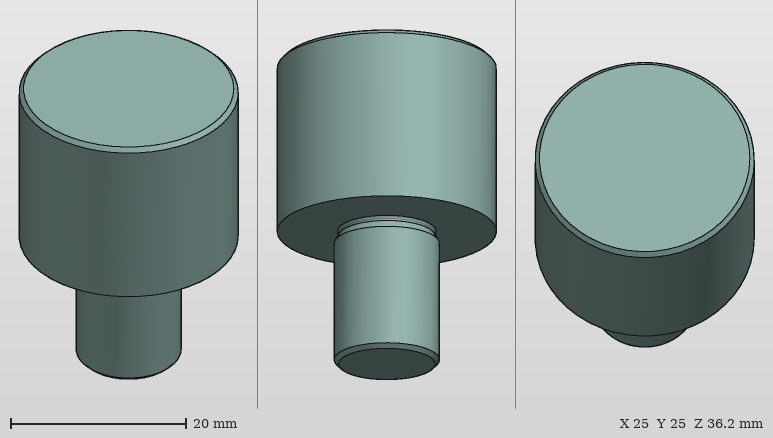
import cadquery as cq
import math

total_height = 36.2
head_radius = 12.507
stem_radius = 6.0
stem_length = 16.0
edge_chamfer = 0.5

neck_depth = 0.5
neck_radius = stem_radius - neck_depth
relief_length = 1.45
relief_angle = math.radians(30)
corner_height = 0.33
corner_width = 0.15

relief_start = stem_length - relief_length
neck_start = relief_start + neck_depth / math.tan(relief_angle)
corner_start = stem_length - corner_height

half_section = (
    cq.Workplane("XZ")
    .lineTo(stem_radius - edge_chamfer, 0)
    .lineTo(stem_radius, edge_chamfer)
    .lineTo(stem_radius, relief_start)
    .lineTo(neck_radius, neck_start)
    .lineTo(neck_radius, corner_start)
    .tangentArcPoint((neck_radius + corner_width, stem_length), relative=False)
    .lineTo(head_radius, stem_length)
    .lineTo(head_radius, total_height - edge_chamfer)
    .lineTo(head_radius - edge_chamfer, total_height)
    .lineTo(0, total_height)
    .close()
)

result = half_section.revolve(360, (0, 0, 0), (0, 1, 0))